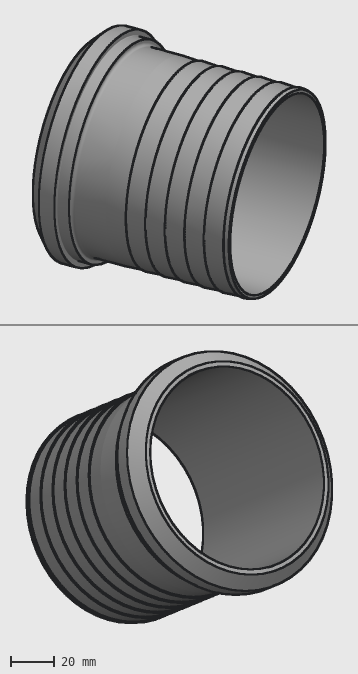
import cadquery as cq

length = 101.6
flange_diameter = 114.5
collar_diameter = 108.2
tube_diameter = 101.6
bore_diameter = 96.9

flange_chamfer = 6.3
flange_end = 14.4
collar_end = 20.5
collar_fillet = 1.6
flange_fillet = 0.3

barb_count = 6
barb_start = 38.1
barb_end = 99.0
barb_depth = 0.6

tip_taper_depth = 0.4
tip_chamfer_length = 0.5
tip_chamfer_depth = 0.2

flange_radius = flange_diameter / 2
collar_radius = collar_diameter / 2
tube_radius = tube_diameter / 2
bore_radius = bore_diameter / 2
barb_pitch = (barb_end - barb_start) / barb_count


def draw_flange_and_collar(profile):
    """Outline the chamfered flange, the collar and the fillets at its two ends."""
    return (
        profile.lineTo(0, flange_radius - flange_chamfer)
        .lineTo(flange_chamfer, flange_radius)
        .lineTo(flange_end, flange_radius)
        .lineTo(flange_end, collar_radius + flange_fillet)
        .radiusArc((flange_end + flange_fillet, collar_radius), -flange_fillet)
        .lineTo(collar_end, collar_radius)
        .lineTo(collar_end, tube_radius + collar_fillet)
        .radiusArc((collar_end + collar_fillet, tube_radius), -collar_fillet)
    )


def draw_barbs(profile):
    """Outline the row of barbs, starting and ending at the tube radius."""
    profile = profile.lineTo(barb_start, tube_radius)
    for barb in range(1, barb_count + 1):
        step = barb_start + barb * barb_pitch
        profile = profile.lineTo(step, tube_radius - barb_depth).lineTo(step, tube_radius)
    return profile


def draw_tip(profile):
    """Outline the taper, the chamfer and the end face of the hose end."""
    taper_radius = tube_radius - tip_taper_depth
    return (
        profile.lineTo(length - tip_chamfer_length, taper_radius)
        .lineTo(length, taper_radius - tip_chamfer_depth)
        .lineTo(length, bore_radius)
    )


section = cq.Workplane("XY").moveTo(0, bore_radius)
section = draw_flange_and_collar(section)
section = draw_barbs(section)
section = draw_tip(section).close()

result = section.revolve(360, (0, 0, 0), (1, 0, 0))